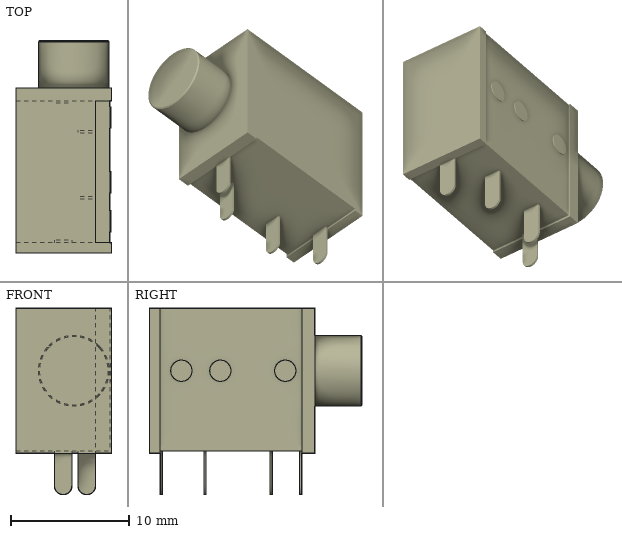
import cadquery as cq


housing_width = 8.1
housing_length = 14.0
housing_height = 12.3

cover_length = 12.0
cover_thickness = 1.2
cover_setback = 0.15
cover_start = 0.9
cover_end = cover_start + cover_length
cover_outer_x = housing_width - cover_setback
cover_inner_x = cover_outer_x - cover_thickness

relief_depth = 0.2
cover_height = housing_height - relief_depth

stud_diameter = 1.8
stud_height = 0.1
stud_positions_y = [2.7, 6.0, 11.5]

barrel_diameter = 6.0
barrel_length = 4.0
barrel_chamfer = 0.1
barrel_x = 4.9
barrel_z = 7.0

pin_width = 1.5
pin_thickness = 0.2
pin_drop = 3.5
pin_length = pin_drop + relief_depth
left_pin_x = 4.0
right_pin_x = 6.0
front_pin_y = cover_start + pin_thickness / 2
inner_front_pin_y = 4.7
inner_rear_pin_y = 10.3
rear_pin_y = cover_end - pin_thickness / 2
pin_positions = [
    (left_pin_x, front_pin_y),
    (right_pin_x, inner_front_pin_y),
    (right_pin_x, inner_rear_pin_y),
    (left_pin_x, rear_pin_y),
]


def block(x_range, y_range, z_range):
    """Rectangular block between the given limits."""
    ranges = (x_range, y_range, z_range)
    size = [high - low for low, high in ranges]
    corner = tuple(low for low, high in ranges)
    return cq.Workplane("XY").box(*size, centered=False).translate(corner)


def make_housing():
    """Box with an open slot for the cover and a relief across the bottom."""
    body = block((0, housing_width), (0, housing_length), (0, housing_height))
    cover_slot = block((cover_inner_x, housing_width), (cover_start, cover_end), (0, housing_height))
    bottom_relief = block((0, housing_width), (cover_start, cover_end), (0, relief_depth))
    return body.cut(cover_slot).cut(bottom_relief)


def make_cover():
    """Plate that fills the side slot, with a row of studs on its outer face."""
    plate = block(
        (cover_inner_x, cover_outer_x),
        (cover_start, cover_end),
        (relief_depth, relief_depth + cover_height),
    )
    studs = (
        cq.Workplane("YZ", origin=(cover_outer_x, 0, barrel_z))
        .pushPoints([(y, 0) for y in stud_positions_y])
        .circle(stud_diameter / 2)
        .extrude(stud_height)
    )
    return plate.union(studs)


def make_barrel():
    """Round barrel standing on the +Y face of the housing, chamfered at its free end."""
    return (
        cq.Workplane("XZ", origin=(barrel_x, housing_length, barrel_z))
        .circle(barrel_diameter / 2)
        .extrude(-barrel_length)
        .faces(">Y")
        .chamfer(barrel_chamfer)
    )


def make_pin(x, y):
    """Flat pin hanging from the relief face, ending in a full half round."""
    half_width = pin_width / 2
    straight_length = pin_length - half_width
    return (
        cq.Workplane("XZ", origin=(x, y, relief_depth))
        .moveTo(-half_width, 0)
        .lineTo(half_width, 0)
        .lineTo(half_width, -straight_length)
        .threePointArc((0, -pin_length), (-half_width, -straight_length))
        .close()
        .extrude(pin_thickness / 2, both=True)
    )


housing = make_housing()
cover = make_cover()
barrel = make_barrel()
pins = [make_pin(x, y) for x, y in pin_positions]

result = cq.Compound.makeCompound(
    [housing.val(), cover.val(), barrel.val(), *[pin.val() for pin in pins]]
)